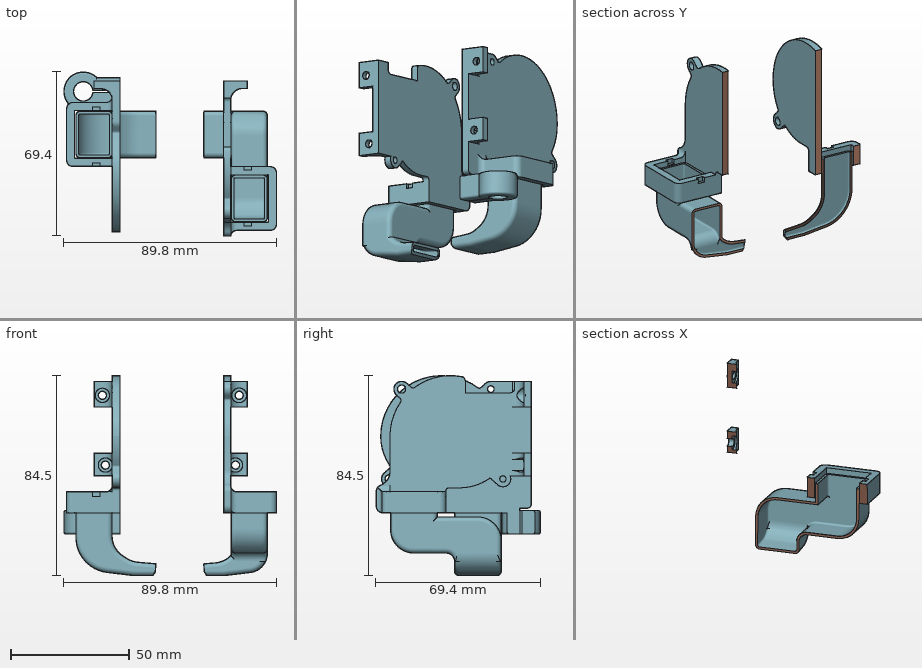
import cadquery as cq
import math


mid_y = 29.5
back_y = 65.6
left_face, left_thick = 20.4, 3.3
right_face, right_thick = 70.5, 3.05
plate_top = 55.6
fan_z = 32.3
front_y = 1.9
upper_radius, lower_radius = 25.7, 21.7
right_fan_y = 31.5
scoop_radius = 1.35

ear_radius = 3.3
ear_angle = 42
left_top_ear, left_front_ear = (48.4, 52.3), (5.6, 14.4)
right_top_ear, right_back_ear = (10.8, 52.3), (53.5, 14.4)
small_ear_hole, front_ear_hole, right_ear_hole = 2.7, 3.5, 3.4
ear_root_radius = 1.1

shelf_z, shelf_front, shelf_back = 50.75, 37.6, 58.5
shelf_blend = 1.9

lug_thick = 3.2
lug_blend = 4.85
left_lug_reach, right_lug_reach = 7.6, 7.0
upper_lug_z, upper_lug_height = 44.7, plate_top - 44.7
lower_lug_z, lower_lug_height = 15.6, 9.6
upper_screw_z, lower_screw_z = 49.7, 20.2
screw_hole = 3.3
small_head, large_head = 6.0, 6.2
head_sink = 0.8

socket_height = 9.0
socket_length = 27.0
socket_reach = 19.3
socket_wall = 3.5
socket_corner = 2.7
notch_width, notch_depth, notch_height = 3.05, 1.5, 2.0
left_notch_x, right_notch_x = 13.65, 77.6
brace_radius = 2.5

ring_x, ring_y = 8.2, 61.2
ring_radius, rod_radius = 8.2, 4.0
ring_bottom, ring_top = -9.0, 1.1
jaw_half = 5.8
slit_half = 0.45
ring_edge = 0.9
jaw_gap = 0.9

duct_width, duct_length = 15.4, 19.8
duct_wall = 1.2
duct_edge = 2.0
duct_rim = 6.65
duct_bottom = -26.5
left_duct_x = left_face - duct_width
right_duct_x = 86.0
left_reach, right_reach = 34.0, 27.0
mouth_top = -20.7
mouth_lean = 0.4
lip_height, lip_depth = 1.6, 1.1
crown_z, belly_z = -1.7, -17.0
crossover_bend, throat_bend = 10.0, 3.5
floor_slope, roof_slope = 7, 5
overrun = 1.8


def mirrored(y):
    return 2 * mid_y - y


def duct_top(inset):
    """Upper end of a duct body; the air passage, which has an inset, is cut past the rim."""
    return duct_rim + overrun if inset else duct_rim


def polar(center, radius, degrees):
    angle = math.radians(degrees)
    return (center[0] + radius * math.cos(angle), center[1] + radius * math.sin(angle))


def block(x0, x1, y0, y1, z0, z1):
    return cq.Workplane("XY").box(x1 - x0, y1 - y0, z1 - z0, centered=False).translate((x0, y0, z0))


def arc(wire, center, radius, start, end):
    """Arc to the end angle; the wire already stands at the start angle."""
    return wire.threePointArc(polar(center, radius, (start + end) / 2), polar(center, radius, end))


upper_center = (front_y + upper_radius, fan_z)
lower_center = (front_y + lower_radius, fan_z)
fan_bottom = fan_z - lower_radius


def left_outline():
    foot_back = ring_y - slit_half
    heel_z = ring_top + jaw_gap
    ear_side = 45
    wire = cq.Workplane("YZ").moveTo(mid_y, 0).lineTo(mid_y, fan_bottom).lineTo(lower_center[0], fan_bottom)
    wire = arc(wire, lower_center, lower_radius, 270, 180)
    wire = arc(wire, upper_center, upper_radius, 180, ear_side)
    wire = wire.lineTo(*left_top_ear).lineTo(left_top_ear[0], plate_top).lineTo(back_y, plate_top)
    return wire.lineTo(back_y, heel_z).lineTo(foot_back, heel_z).lineTo(foot_back, 0).close()


def right_outline():
    upper = (right_fan_y, fan_z)
    lower = (mirrored(lower_center[0]), fan_z)
    neck_y = upper[0] - upper_radius
    neck_z = 17.6
    toe_radius = 3.0
    toe = (toe_radius, socket_height)
    rise = neck_z - toe[1]
    neck_radius = (neck_y ** 2 - 2 * neck_y * toe_radius + rise ** 2) / (2 * neck_y)
    neck = (neck_y - neck_radius, neck_z)
    toe_angle = math.degrees(math.atan2(neck[1] - toe[1], neck[0] - toe[0]))
    lower_end = -math.degrees(math.asin((fan_z - lower_lug_z) / lower_radius))
    step_angle = math.degrees(math.acos((shelf_front - upper[0]) / upper_radius))

    wire = cq.Workplane("YZ").moveTo(mid_y, 0).lineTo(mid_y, fan_bottom).lineTo(lower[0], fan_bottom)
    wire = arc(wire, lower, lower_radius, -90, lower_end)
    wire = wire.lineTo(back_y, lower_lug_z).lineTo(back_y, plate_top).lineTo(shelf_back, plate_top)
    wire = wire.lineTo(shelf_back, shelf_z).lineTo(shelf_front, shelf_z)
    wire = wire.lineTo(*polar(upper, upper_radius, step_angle))
    wire = arc(wire, upper, upper_radius, step_angle, 180)
    wire = wire.lineTo(neck_y, neck_z)
    wire = arc(wire, neck, neck_radius, 0, toe_angle - 180)
    wire = arc(wire, toe, toe_radius, toe_angle, 180)
    wire = wire.lineTo(0, toe_radius)
    wire = arc(wire, (toe_radius, toe_radius), toe_radius, 180, 270)
    return wire.close()


def prism(outline, x0, x1):
    return outline.extrude(x1 - x0).translate((x0, 0, 0))


def ear(center, direction, x0, thick, length=7.2):
    """Round screw ear whose straight sides run into the plate along the given direction."""
    bar = (cq.Workplane("YZ").slot2D(length + 2 * ear_radius, 2 * ear_radius)
           .extrude(thick).translate((0, length / 2, 0)))
    return bar.rotate((0, 0, 0), (1, 0, 0), direction).translate((x0, *center))


def ear_hole(center, diameter, x0, thick):
    return cq.Workplane("YZ").circle(diameter / 2).extrude(thick).translate((x0, *center))


def lug(face, side, reach, z0, height, screw):
    """Lug with a concave blend onto the plate and a sunk screw, given as (x, z, head diameter)."""
    flat_y = back_y - lug_thick
    blend = cq.Workplane("XY").moveTo(face, back_y).lineTo(face + side * reach, back_y)
    blend = blend.lineTo(face + side * reach, flat_y).lineTo(face + side * lug_blend, flat_y)
    center = (face + side * lug_blend, flat_y - lug_blend)
    blend = arc(blend, center, lug_blend, 90, 90 + side * 90)
    return blend.close().extrude(height).translate((0, 0, z0)).cut(lug_screw(*screw))


def lug_screw(x, z, head):
    flat_y = back_y - lug_thick
    seat = cq.Workplane("XZ", origin=(x, flat_y + head_sink, z)).circle(head / 2).extrude(lug_blend + head_sink)
    return seat.union(cq.Workplane("XZ", origin=(x, back_y, z)).circle(screw_hole / 2).extrude(lug_thick))


def span(face, side, near, far):
    """X limits of a stretch between two distances from a plate's outer face."""
    return sorted((face + side * near, face + side * far))


def socket(face, side, y0, notch_x):
    """Open frame for a duct, notched inside its back wall (left) or front wall (right)."""
    far_edges = "|Z and <X" if side < 0 else "|Z and >X"
    y1 = y0 + socket_length
    frame = block(*span(face, side, 0, socket_reach), y0, y1, 0, socket_height)
    frame = frame.edges(far_edges).fillet(socket_corner)
    frame = frame.cut(block(*span(face, side, 0, socket_reach - socket_wall),
                            y0 + socket_wall, y1 - socket_wall, 0, socket_height))
    inner_y = y1 - socket_wall if side < 0 else y0 + socket_wall - notch_depth
    outer_y = y0 if side < 0 else y1 - notch_depth
    for y in (inner_y, outer_y):
        frame = frame.cut(block(notch_x - notch_width / 2, notch_x + notch_width / 2,
                                y, y + notch_depth, socket_height - notch_height, socket_height))
    return frame


def brace(face, side, inner_y, outer_y):
    """Concave blend from a plate onto the top and the outer side of a socket wall."""
    out = math.copysign(brace_radius, outer_y - inner_y)
    tip = face + side * brace_radius
    bend = brace_radius * (1 - math.sqrt(0.5))
    top = socket_height + brace_radius
    plan = (cq.Workplane("XY").moveTo(face, inner_y).lineTo(tip, inner_y).lineTo(tip, outer_y)
            .threePointArc((face + side * bend, outer_y + math.copysign(bend, out)), (face, outer_y + out))
            .close().extrude(top))
    front = (cq.Workplane("XZ").moveTo(face, 0).lineTo(tip, 0).lineTo(tip, socket_height)
             .threePointArc((face + side * bend, socket_height + bend), (face, top))
             .close().extrude(-back_y))
    return plan.intersect(front)


def clamp():
    height = ring_top - ring_bottom
    end_x = left_face + left_thick
    body = cq.Workplane("XY").circle(ring_radius).extrude(height).translate((ring_x, ring_y, ring_bottom))
    body = body.union(block(ring_x, end_x, ring_y - jaw_half, ring_y + jaw_half, ring_bottom, ring_top))
    body = body.faces("<Z or >Z").edges("not >X").fillet(ring_edge)
    body = body.cut(cq.Workplane("XY").circle(rod_radius).extrude(height).translate((ring_x, ring_y, ring_bottom)))
    return body.cut(block(ring_x, end_x, ring_y - slit_half, ring_y + slit_half, ring_bottom, ring_top))


def round_at(solid, points, radius):
    """Rounds the X-parallel edges nearest to the given (x, y, z) points."""
    for point in points:
        solid = solid.edges("|X").edges(cq.NearestToPointSelector(point)).fillet(radius)
    return solid


def make_left_mount():
    face, side, thick = left_face, -1, left_thick
    mid_x = face + thick / 2
    mount = prism(left_outline(), face, face + thick)
    mount = mount.union(ear(left_top_ear, 180 + ear_angle, face, thick))
    mount = mount.union(ear(left_front_ear, ear_angle, face, thick))
    mount = round_at(mount, [(mid_x, mid_y, fan_bottom)], scoop_radius)
    mount = round_at(mount, [(mid_x, 6.3, 19.8), (mid_x, 10.8, 15.3), (mid_x, 43.5, 52.5)], ear_root_radius)
    mount = round_at(mount, [(mid_x, back_y, ring_top + jaw_gap)], 1.8)
    mount = mount.cut(ear_hole(left_top_ear, small_ear_hole, face, thick))
    mount = mount.cut(ear_hole(left_front_ear, front_ear_hole, face, thick))

    upper_screw = (16.3, upper_screw_z, small_head)
    lower_screw = (17.5, lower_screw_z, small_head)
    mount = mount.union(lug(face, side, left_lug_reach, upper_lug_z, upper_lug_height, upper_screw))
    mount = mount.union(lug(face, side, left_lug_reach, lower_lug_z, lower_lug_height, lower_screw))

    mount = mount.union(socket(face, side, mid_y, left_notch_x))
    socket_back = mid_y + socket_length
    mount = mount.union(brace(face, side, socket_back - socket_wall, socket_back))
    return mount.union(clamp())


def make_right_mount():
    face, side, thick = right_face, 1, right_thick
    inner_x = face - thick
    mid_x = face - thick / 2
    mount = prism(right_outline(), inner_x, face)
    mount = mount.union(ear(right_top_ear, -ear_angle, inner_x, thick))
    mount = mount.union(ear(right_back_ear, 180 - ear_angle, inner_x, thick))
    mount = round_at(mount, [(mid_x, mid_y, fan_bottom)], scoop_radius)
    mount = round_at(mount, [(mid_x, shelf_back, shelf_z), (mid_x, shelf_front, 57.3)], shelf_blend)
    mount = round_at(mount, [(mid_x, 15.7, 52.6), (mid_x, 8.0, 42.5)], ear_root_radius)
    mount = mount.cut(ear_hole(right_top_ear, right_ear_hole, inner_x, thick))
    mount = mount.cut(ear_hole(right_back_ear, small_ear_hole, inner_x, thick))

    upper_screw = (74.0, upper_screw_z, large_head)
    lower_screw = (72.5, lower_screw_z, small_head)
    mount = mount.union(lug(face, side, right_lug_reach, upper_lug_z, upper_lug_height, upper_screw))
    mount = mount.union(lug(face, side, right_lug_reach, lower_lug_z, lower_lug_height, lower_screw))

    socket_front = mid_y - socket_length
    mount = mount.union(socket(face, side, socket_front, right_notch_x))
    support = brace(face, side, socket_front + socket_wall, socket_front)
    return mount.union(support.intersect(prism(right_outline(), face, face + brace_radius)))


def spout(outer_radius, outer_z, roof, end, top, inset):
    """Duct that bends from vertical into a flat spout, shrunk by the inset, with rounded long edges."""
    section = spout_section(outer_radius, outer_z, roof, end, top, inset)
    solid = section.extrude(-(duct_length - 2 * inset)).translate((0, inset, 0))
    long_edges = [edge for edge in solid.faces("<Y or >Y").edges().vals()
                  if edge.Center().z < top - 0.1 and edge.Center().x < end - 0.1]
    return solid.newObject(long_edges).fillet(duct_edge - inset)


def spout_section(outer_radius, outer_z, roof, end, top, inset):
    """Outline of a spout; `roof` draws the inside of the bend from the far end up to the inner wall."""
    outer = (outer_radius, outer_z)
    bend = outer_radius - inset
    touch = polar(outer, bend, 270 - floor_slope)
    floor_z = duct_bottom + inset
    floor_u = touch[0] + (touch[1] - floor_z) / math.tan(math.radians(floor_slope))
    wire = cq.Workplane("XZ").moveTo(inset, top).lineTo(inset, outer_z)
    wire = arc(wire, outer, bend, 180, 270 - floor_slope)
    wire = wire.lineTo(floor_u, floor_z).lineTo(end, floor_z)
    wire = roof(wire, end, inset)
    return wire.lineTo(duct_width - inset, top).close()


def mouth_trim(reach):
    """Everything beyond a spout's mouth, which leans back and has a cut lower lip."""
    lip_z = duct_bottom + lip_height
    face = cq.Workplane("XZ").moveTo(reach, mouth_top).lineTo(reach - mouth_lean, lip_z)
    face = face.lineTo(reach - mouth_lean - lip_depth, duct_bottom).lineTo(reach + 2 * overrun, duct_bottom)
    return face.lineTo(reach + 2 * overrun, mouth_top).close().extrude(-back_y)


def left_roof(wire, end, inset):
    """Two tangent bends of one radius with a short straight between them."""
    radius, start_z, first_turn, straight = 10.0, -9.8, 58, 2.0
    bend = radius + inset
    first = (duct_width + radius, start_z)
    first_end = polar(first, bend, 180 + first_turn)
    slope = math.radians(90 - first_turn)
    second_start = (first_end[0] + straight * math.cos(slope), first_end[1] - straight * math.sin(slope))
    second = polar(second_start, bend, first_turn)
    second_end = polar(second, bend, 270 - roof_slope)
    mouth_z = second_end[1] - (end - second_end[0]) * math.tan(math.radians(roof_slope))
    wire = wire.lineTo(end, mouth_z).lineTo(*second_end)
    wire = arc(wire, second, bend, 270 - roof_slope, 180 + first_turn)
    wire = wire.lineTo(*first_end)
    return arc(wire, first, bend, 180 + first_turn, 180)


def right_roof(wire, end, inset):
    """A single bend that meets the inner wall at an angle."""
    radius, bend_end = 10.0, (21.8, -21.0)
    center = polar(bend_end, radius, 90 - roof_slope)
    bend = radius + inset
    turn_end = polar(center, bend, 270 - roof_slope)
    wall_angle = math.degrees(math.acos((duct_width - inset - center[0]) / bend))
    mouth_z = turn_end[1] - (end - turn_end[0]) * math.tan(math.radians(roof_slope))
    wire = wire.lineTo(end, mouth_z).lineTo(*turn_end)
    return arc(wire, center, bend, 270 - roof_slope, 360 - wall_angle)


left_duct_y = mid_y + (socket_length - duct_length) / 2
right_duct_y = mirrored(left_duct_y)


def left_duct_solid(inset):
    body = spout(15.0, -10.2, left_roof, left_reach + overrun, duct_top(inset), inset)
    return body.translate((0, left_duct_y, 0))


def crossover_profile(inset):
    """Duct seen along X: down from the socket, back under it and down again into the spout."""
    front, inner = mirrored(left_duct_y + duct_length) + inset, right_duct_y - inset
    spout_front, back = left_duct_y + inset, left_duct_y + duct_length - inset
    crown, belly = crown_z - inset, belly_z + inset
    big, small = crossover_bend - inset, throat_bend + inset
    top = duct_top(inset)
    wire = cq.Workplane("YZ").moveTo(inner, top).lineTo(front, top).lineTo(front, belly + big)
    wire = arc(wire, (front + big, belly + big), big, 180, 270)
    wire = wire.lineTo(spout_front - small, belly)
    wire = arc(wire, (spout_front - small, belly - small), small, 90, 0)
    wire = wire.lineTo(back, belly - small).lineTo(back, crown - big)
    wire = arc(wire, (back - big, crown - big), big, 0, 90)
    return wire.lineTo(inner, crown).close()


def right_duct_solid(inset):
    bend_radius, end = 8.3, right_reach + overrun
    top = duct_top(inset)
    crossover = prism(crossover_profile(inset), inset, duct_width - inset)
    throat_z = belly_z - throat_bend
    long_edges = [edge for edge in crossover.faces("<X or >X").edges().vals()
                  if throat_z + 0.1 < edge.Center().z < top - 0.1]
    crossover = crossover.newObject(long_edges).fillet(duct_edge - inset)
    bend = spout_section(bend_radius, belly_z, right_roof, end, top, inset).extrude(-back_y)
    lower = spout(bend_radius, belly_z, right_roof, end, crown_z - crossover_bend, inset)
    return crossover.intersect(bend).union(lower.translate((0, left_duct_y, 0)))


def make_left_duct():
    duct = left_duct_solid(0).cut(left_duct_solid(duct_wall)).cut(mouth_trim(left_reach))
    return duct.translate((left_duct_x, 0, 0))


def make_right_duct():
    duct = right_duct_solid(0).cut(right_duct_solid(duct_wall)).cut(mouth_trim(right_reach))
    return duct.mirror("YZ").translate((right_duct_x, 0, 0))


left_mount = make_left_mount()
right_mount = make_right_mount()
left_duct = make_left_duct()
right_duct = make_right_duct()

result = cq.Compound.makeCompound([left_mount.val(), right_mount.val(), left_duct.val(), right_duct.val()])